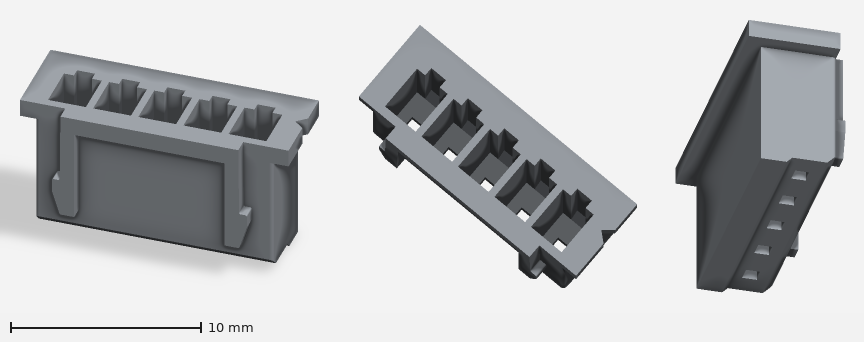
import cadquery as cq

positions = 5
pitch = 2.5
height = 7.95

flange_length = 14.91
flange_depth = 5.0
flange_thickness = 1.0
notch_depth = 0.55
notch_half_width = 0.48
notch_y = 2.73

body_length = 13.17
body_depth = 4.1
front_edge_radius = 0.2
foot_depth = 1.4
foot_height = 0.31
front_chamfer = 0.49

latch_thickness = 0.8
latch_top_half_width = 4.94
latch_neck_half_width = 4.98
hook_half_width = 5.41
window_half_width = 4.17
hook_ledge_z = 3.9
hook_taper_z = 3.15
latch_bottom_z = 1.75
latch_radius = 0.09

cavity_width = 2.1
cavity_front_y = 0.48
cavity_back_y = 3.1
cavity_floor_z = 1.0
key_width = 1.0
key_depth = 0.5
pin_hole_size = 0.8
pin_hole_y = 1.52


def make_body():
    """Extrude the side profile along X, with a raised foot along the back and a chamfered front."""
    profile = [
        (0, height),
        (0, foot_height + front_chamfer),
        (front_chamfer, foot_height),
        (body_depth - foot_depth - foot_height, foot_height),
        (body_depth - foot_depth, 0),
        (body_depth, 0),
        (body_depth, height),
    ]
    body = cq.Workplane("YZ").polyline(profile).close().extrude(body_length / 2, both=True)
    return body.edges("|Z and <Y").fillet(front_edge_radius)


def make_flange():
    """Top plate with a V notch in its right-hand end."""
    right_x = flange_length / 2
    outline = [
        (-right_x, 0),
        (right_x, 0),
        (right_x, notch_y - notch_half_width),
        (right_x - notch_depth, notch_y),
        (right_x, notch_y + notch_half_width),
        (right_x, flange_depth),
        (-right_x, flange_depth),
    ]
    base = cq.Workplane("XY", origin=(0, 0, height - flange_thickness))
    return base.polyline(outline).close().extrude(flange_thickness)


def make_latch():
    """U-shaped frame: a bar across the top and two arms ending in outward hooks."""
    right_side = [
        (latch_top_half_width, height),
        (latch_neck_half_width, hook_ledge_z),
        (hook_half_width, hook_ledge_z),
        (hook_half_width, hook_taper_z),
        (latch_neck_half_width, latch_bottom_z),
        (window_half_width, latch_bottom_z),
        (window_half_width, height - flange_thickness),
    ]
    left_side = [(-x, z) for x, z in reversed(right_side)]
    latch = cq.Workplane("XZ").polyline(right_side + left_side).close().extrude(latch_thickness)

    for side in (-1, 1):
        for x, z in (right_side[1], right_side[2], right_side[4]):
            corner = cq.selectors.NearestToPointSelector((side * x, -latch_thickness / 2, z))
            latch = latch.edges("|Y").edges(corner).fillet(latch_radius)
    return latch


def make_contact_cavity():
    """Tool for one contact: main pocket, key slot with a 45 degree floor, and pin hole."""
    pocket_depth = height - cavity_floor_z
    pocket_length = cavity_back_y - cavity_front_y
    pocket = cq.Workplane("XY").box(cavity_width, pocket_length, pocket_depth, centered=(True, False, False))
    pocket = pocket.translate((0, cavity_front_y, cavity_floor_z))

    key_profile = [
        (cavity_back_y, height),
        (cavity_back_y, cavity_floor_z),
        (cavity_back_y + key_depth, cavity_floor_z + key_depth),
        (cavity_back_y + key_depth, height),
    ]
    key = cq.Workplane("YZ").polyline(key_profile).close().extrude(key_width / 2, both=True)

    pin_hole = cq.Workplane("XY").center(0, pin_hole_y).rect(pin_hole_size, pin_hole_size).extrude(height)
    return pocket.union(key).union(pin_hole)


result = make_body().union(make_flange()).union(make_latch())

cavity = make_contact_cavity()
for index in range(positions):
    cavity_x = (index - (positions - 1) / 2) * pitch
    result = result.cut(cavity.translate((cavity_x, 0, 0)))